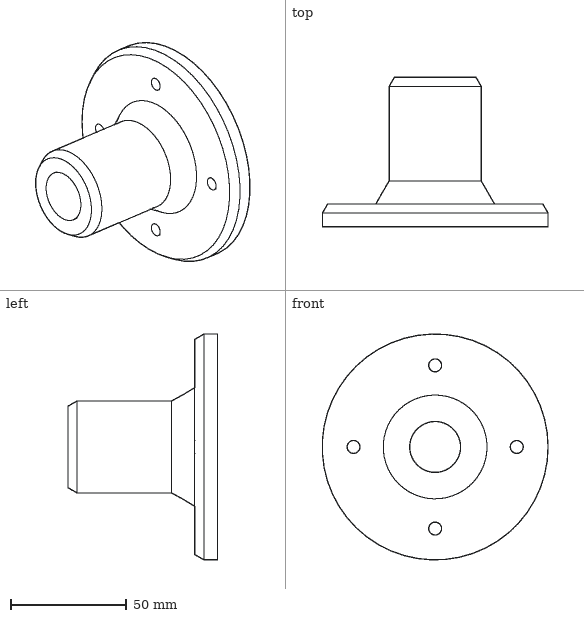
import cadquery as cq
import math

flange_diameter = 98.0
flange_thickness = 10.0
total_length = 65.0

hub_diameter = 40.0
foot_length = 10.0
bevel_length = 4.0
bevel_angle = 30.0

bore_diameter = 22.0
recess_diameter = 45.0
recess_depth = 3.0

mount_hole_diameter = 5.5
mount_circle_diameter = 70.8
mount_hole_count = 4

flange_radius = flange_diameter / 2
hub_radius = hub_diameter / 2
slope = math.tan(math.radians(bevel_angle))
foot_radius = hub_radius + foot_length * slope
bevel_width = bevel_length * slope


def make_body():
    """Revolve the outer half profile (radius, position along Y) about the Y axis."""
    profile = [
        (0, 0),
        (flange_radius, 0),
        (flange_radius, flange_thickness - bevel_length),
        (flange_radius - bevel_width, flange_thickness),
        (foot_radius, flange_thickness),
        (hub_radius, flange_thickness + foot_length),
        (hub_radius, total_length - bevel_length),
        (hub_radius - bevel_width, total_length),
        (0, total_length),
    ]
    return cq.Workplane("XY").polyline(profile).close().revolve(360, (0, 0), (0, 1))


def front_cylinders(diameter, depth, centers):
    """Cylinders starting on the front face and running along +Y."""
    return cq.Workplane("XZ").pushPoints(centers).circle(diameter / 2).extrude(-depth)


def mount_hole_centers():
    """Evenly spaced (X, Z) positions, the first one on the +X axis."""
    radius = mount_circle_diameter / 2
    angles = [2 * math.pi * i / mount_hole_count for i in range(mount_hole_count)]
    return [(radius * math.cos(a), radius * math.sin(a)) for a in angles]


bore = front_cylinders(bore_diameter, total_length, [(0, 0)])
recess = front_cylinders(recess_diameter, recess_depth, [(0, 0)])
mount_holes = front_cylinders(mount_hole_diameter, flange_thickness, mount_hole_centers())

result = make_body().cut(bore).cut(recess).cut(mount_holes)